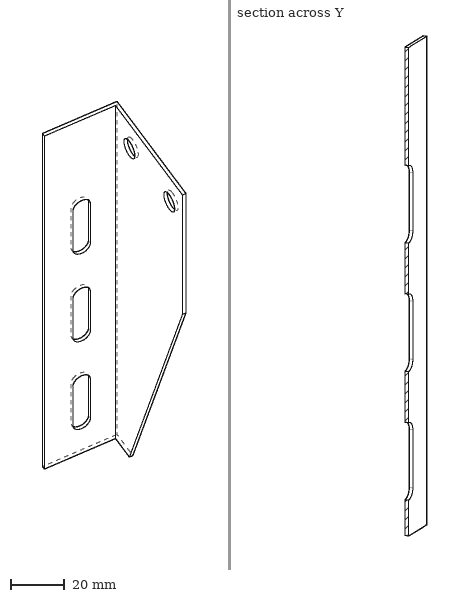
import cadquery as cq

height = 190.0
plate_width = 52.0
flange_depth = 32.0
thickness = 1.5

foot_width = 12.0
straight_edge_height = 68.0

hole_diameter = 8.2
hole_from_top = 14.0
first_hole_x = 12.0
hole_spacing = 30.0

slot_length = 30.0
slot_width = 7.5
slot_count = 3
slot_spacing = 50.0
lowest_slot_end_z = 14.0


def make_plate():
    """Tapered plate in the XZ plane with its back face at Y = 0."""
    outline = [
        (0, 0),
        (foot_width, 0),
        (plate_width, height - straight_edge_height),
        (plate_width, height),
        (0, height),
    ]
    hole_z = height - hole_from_top
    hole_centers = [(first_hole_x, hole_z), (first_hole_x + hole_spacing, hole_z)]
    plate = cq.Workplane("XZ").polyline(outline).close().extrude(thickness)
    holes = (
        cq.Workplane("XZ")
        .pushPoints(hole_centers)
        .circle(hole_diameter / 2)
        .extrude(thickness)
    )
    return plate.cut(holes)


def make_flange():
    """Rectangular flange in the YZ plane, slotted along its middle."""
    flange = (
        cq.Workplane("YZ")
        .rect(-flange_depth, height, centered=False)
        .extrude(thickness)
    )
    lowest_center_z = lowest_slot_end_z + slot_length / 2
    slot_centers = [
        (-flange_depth / 2, lowest_center_z + i * slot_spacing)
        for i in range(slot_count)
    ]
    slots = (
        cq.Workplane("YZ")
        .pushPoints(slot_centers)
        .slot2D(slot_length, slot_width, 90)
        .extrude(thickness)
    )
    return flange.cut(slots)


result = make_plate().union(make_flange())